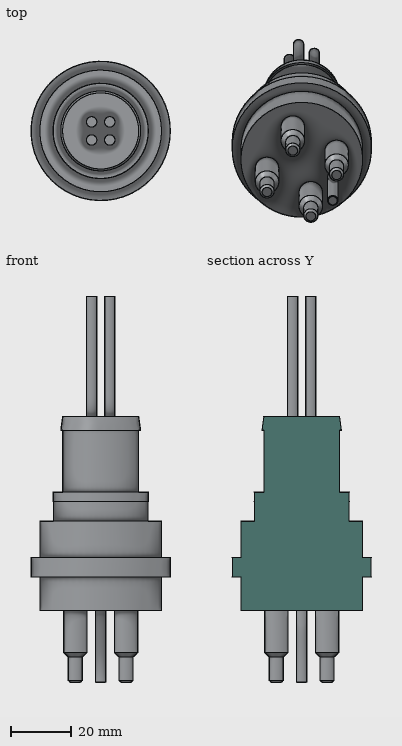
import cadquery as cq
import math

body_bottom = 24.0
flange_bottom = 35.1
flange_top = 41.7
body_top = 53.8
collar_bottom = 60.4
collar_top = 63.5
cap_bottom = 84.0
cap_top = 88.7
wire_top = 128.7

body_diameter = 40.5
flange_diameter = 46.5
neck_diameter = 31.7
collar_diameter = 31.8
sleeve_diameter = 25.4
cap_base_diameter = 26.6
cap_top_diameter = sleeve_diameter

pin_circle_diameter = 24.0

pin_diameter = 7.9
pin_tip_diameter = 4.8
pin_tip_length = 8.5
pin_tip_chamfer = 0.8
pin_spacing = pin_circle_diameter / math.sqrt(2)

guide_diameter = 3.5
guide_offset = pin_circle_diameter / 2
guide_chamfer = 0.3

wire_diameter = 3.5
wire_spacing = 6.0

overlap = 1.3


def cylinder(diameter, bottom, top):
    """Upright cylinder on the Z axis."""
    return cq.Workplane("XY").workplane(offset=bottom).circle(diameter / 2).extrude(top - bottom)


def square_pattern(spacing):
    """Corners of a square centred on the Z axis."""
    half = spacing / 2
    return [(x, y) for x in (-half, half) for y in (-half, half)]


def make_housing():
    """Stepped round housing with a flange, a collar and a tapered cap."""
    sections = [
        (body_diameter, body_bottom),
        (body_diameter, flange_bottom),
        (flange_diameter, flange_bottom),
        (flange_diameter, flange_top),
        (body_diameter, flange_top),
        (body_diameter, body_top),
        (neck_diameter, body_top),
        (neck_diameter, collar_bottom),
        (collar_diameter, collar_bottom),
        (collar_diameter, collar_top),
        (sleeve_diameter, collar_top),
        (sleeve_diameter, cap_bottom),
        (cap_base_diameter, cap_bottom),
        (cap_top_diameter, cap_top),
    ]
    outline = [(0, body_bottom)]
    outline += [(diameter / 2, height) for diameter, height in sections]
    outline += [(0, cap_top)]
    return cq.Workplane("XZ").polyline(outline).close().revolve(360, (0, 0), (0, 1))


def make_contact_pin():
    """Pin with a chamfered narrow tip and a 45 degree shoulder up to its full width."""
    shoulder_height = (pin_diameter - pin_tip_diameter) / 2
    shank = cylinder(pin_diameter, pin_tip_length, body_bottom + overlap)
    shank = shank.faces("<Z").chamfer(shoulder_height)
    tip = cylinder(pin_tip_diameter, 0, pin_tip_length + overlap)
    tip = tip.faces("<Z").chamfer(pin_tip_chamfer)
    return shank.union(tip)


def make_guide_pin():
    """Thin straight pin with a small chamfer at its tip."""
    pin = cylinder(guide_diameter, 0, body_bottom + overlap)
    return pin.faces("<Z").chamfer(guide_chamfer)


result = make_housing()

contact_pin = make_contact_pin()
for x, y in square_pattern(pin_spacing):
    result = result.union(contact_pin.translate((x, y, 0)))

result = result.union(make_guide_pin().translate((0, guide_offset, 0)))

wire = cylinder(wire_diameter, cap_top - overlap, wire_top)
for x, y in square_pattern(wire_spacing):
    result = result.union(wire.translate((x, y, 0)))